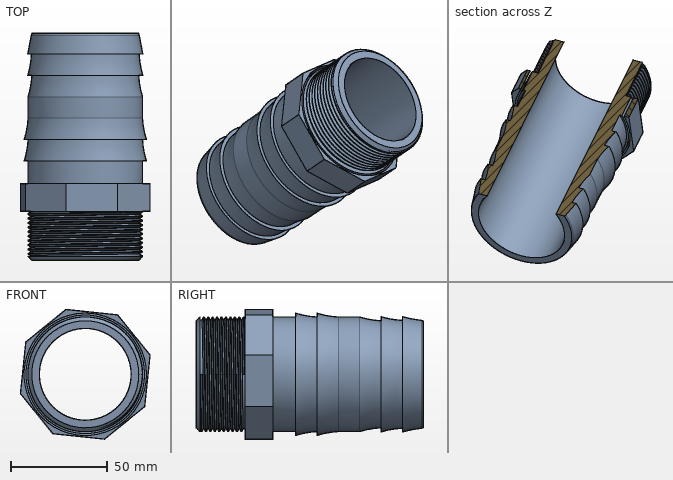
import cadquery as cq
import math

total_length = 118.0
bore_radius = 47.5 / 2

spigot_length = 25.5
thread_radius = 59.6 / 2
thread_root_radius = 56.6 / 2
thread_start = 2.2
thread_rise = 23.0
thread_turns = 10
thread_pitch = thread_rise / thread_turns
ridge_base = 2.0
ridge_crest = 0.4
ridge_embed = 0.1
end_chamfer = 2.0
space_margin = 1.2

ring_length = 14.4
across_flats = 65.0
side_count = 8
corner_angle = 16.5
ring_bore_radius = 63.6 / 2
collar_radius = 61.6 / 2

tail_start = spigot_length + ring_length
barrel_radius = thread_radius
barb_length = 11.1
large_barb_count = 2
large_barb_radius = 63.6 / 2
small_barb_radius = 30.0
middle_neck_radius = 27.8
tip_neck_radius = 28.1
tip_radius = 27.7
tip_edge_length = 1.1
neck_length = 11.8
barb_hollow = 0.4


def make_thread():
    """Right-handed helical ridge around the spigot, trimmed to the space between rim and collar."""
    flank_slope = (ridge_base - ridge_crest) / (thread_radius - thread_root_radius)
    foot_radius = thread_root_radius - ridge_embed
    foot_width = ridge_base + ridge_embed * flank_slope
    path = cq.Wire.makeHelix(thread_pitch, thread_rise, thread_root_radius)
    ridge = (
        cq.Workplane("XZ")
        .moveTo(foot_radius, -foot_width / 2)
        .lineTo(thread_radius, -ridge_crest / 2)
        .lineTo(thread_radius, ridge_crest / 2)
        .lineTo(foot_radius, foot_width / 2)
        .close()
        .sweep(cq.Workplane(path), isFrenet=True)
    )
    ridge = ridge.rotate((0, 0, 0), (1, 0, 0), -90).translate((0, thread_start, 0))
    thread_space = (
        cq.Workplane("XZ", origin=(0, spigot_length, 0))
        .circle(thread_radius + space_margin)
        .circle(thread_root_radius)
        .extrude(spigot_length - end_chamfer)
    )
    return ridge.intersect(thread_space)


def make_wrench_ring():
    """Octagonal ring with clearance around the collar."""
    corner_radius = across_flats / 2 / math.cos(math.pi / side_count)
    ring_plane = cq.Workplane("XZ", origin=(0, tail_start, 0))
    ring_bore = ring_plane.circle(ring_bore_radius).extrude(ring_length)
    return (
        ring_plane
        .transformed(rotate=(0, 0, corner_angle))
        .polygon(side_count, 2 * corner_radius)
        .extrude(ring_length)
        .cut(ring_bore)
    )


def add_barb(outline, base_y, base_radius, neck_radius):
    """Step out to the barb's sharp edge, then follow its concave flank to the neck."""
    middle = ((base_radius + neck_radius) / 2 - barb_hollow, base_y + barb_length / 2)
    return outline.lineTo(base_radius, base_y).threePointArc(middle, (neck_radius, base_y + barb_length))


def make_nipple():
    """Tube with a chamfered spigot, a collar inside the wrench ring and a barbed hose tail."""
    first_barb = tail_start + neck_length
    outline = (
        cq.Workplane("XY")
        .moveTo(bore_radius, 0)
        .lineTo(thread_radius - end_chamfer, 0)
        .lineTo(thread_radius, end_chamfer)
        .lineTo(thread_root_radius, end_chamfer)
        .lineTo(thread_root_radius, spigot_length)
        .lineTo(collar_radius, spigot_length)
        .lineTo(collar_radius, tail_start)
        .lineTo(barrel_radius, tail_start)
        .lineTo(barrel_radius, first_barb)
    )
    for barb in range(large_barb_count):
        outline = add_barb(outline, first_barb + barb * barb_length, large_barb_radius, barrel_radius)
    taper_start = first_barb + (large_barb_count + 1) * barb_length
    outline = add_barb(outline, taper_start, barrel_radius, middle_neck_radius)
    outline = add_barb(outline, taper_start + barb_length, small_barb_radius, tip_neck_radius)
    return (
        outline.lineTo(small_barb_radius, taper_start + 2 * barb_length)
        .lineTo(tip_neck_radius, total_length - tip_edge_length)
        .lineTo(tip_radius, total_length)
        .lineTo(bore_radius, total_length)
        .close()
        .revolve(360, (0, 0, 0), (0, 1, 0))
    )


nipple = make_nipple()
wrench_ring = make_wrench_ring()
thread = make_thread()

result = cq.Compound.makeCompound([nipple.val(), wrench_ring.val(), *thread.solids().vals()])